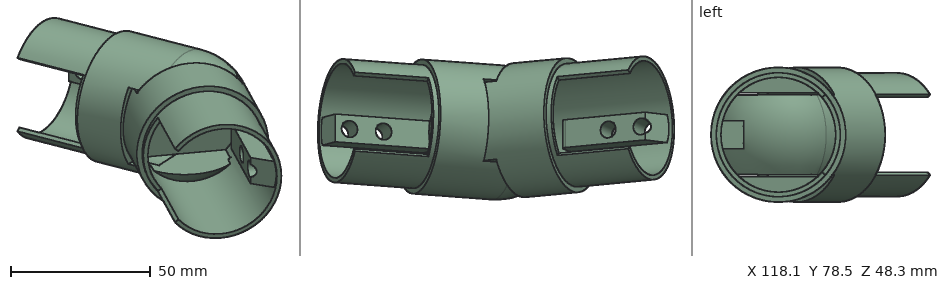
import cadquery as cq
import math


arm_length = 60.0
collar_diameter = 48.3
collar_radius = collar_diameter / 2
tube_radius = 22.2
bore_radius = 20.5
collar_end = 30.0
bore_floor = 1.9
bend_angle = 45.0

slot_start = 32.0
slot_half_angle = 40.5

lug_inner_height = 15.0
tongue_half_height = 14.3
fork_notch_floor = 11.7
tongue_shoulder = 9.0

block_half_width = 5.1
block_inner_radius = 12.4
block_start = 19.8
block_nose_radius = 1.7
block_foot_end = 59.8
fork_block_top_end = 56.8
tongue_block_top_end = 53.0
screw_hole_diameter = 6.0
screw_hole_places = (38.4, 51.4)

cutter_size = 2 * collar_diameter


def rod(radius, start, end):
    """Cylinder along X from start to end."""
    return cq.Workplane("YZ").workplane(offset=start).circle(radius).extrude(end - start)


def slab(start, end, bottom, top):
    """Wide box between two X positions and two heights."""
    size = (end - start, cutter_size, top - bottom)
    return cq.Workplane("XY").box(*size, centered=(False, True, False)).translate((start, 0, bottom))


def slot_cutter():
    """Wedge from the axis towards -Y, so that the slot edges are radial."""
    reach = cutter_size * math.tan(math.radians(slot_half_angle))
    wedge = [(0, 0), (-cutter_size, reach), (-cutter_size, -reach)]
    return cq.Workplane("YZ").workplane(offset=slot_start).polyline(wedge).close().extrude(arm_length)


def screw_block(top_end):
    """Block on the +Y wall of the bore, with a rounded inner nose and a sloping outer end."""
    profile = [
        (block_start, block_inner_radius),
        (top_end, block_inner_radius),
        (block_foot_end, tube_radius),
        (block_start, tube_radius),
    ]
    block = cq.Workplane("XY").polyline(profile).close().extrude(block_half_width, both=True)
    nose = cq.selectors.NearestToPointSelector((block_start, block_inner_radius, 0))
    block = block.edges("|Z").edges(nose).fillet(block_nose_radius)
    return block.intersect(rod(tube_radius, 0, arm_length))


def screw_holes():
    """Holes through the block and the +Y wall."""
    places = [(place, 0) for place in screw_hole_places]
    return cq.Workplane("XZ").pushPoints(places).circle(screw_hole_diameter / 2).extrude(-cutter_size)


def arm(joint_cutters, block_top_end):
    """One arm with its ball end, trimmed by the cutters that form its half of the joint."""
    body = cq.Workplane("XY").sphere(collar_radius)
    body = body.union(rod(collar_radius, 0, collar_end))
    body = body.union(rod(tube_radius, 0, arm_length))
    body = body.cut(rod(bore_radius, bore_floor, arm_length))
    body = body.cut(slot_cutter())
    for cutter in joint_cutters:
        body = body.cut(cutter)
    return body.union(screw_block(block_top_end)).cut(screw_holes())


fork_arm = arm(
    [slab(-cutter_size, fork_notch_floor, -lug_inner_height, lug_inner_height)],
    fork_block_top_end,
)
tongue_arm = arm(
    [
        slab(-cutter_size, tongue_shoulder, tongue_half_height, cutter_size),
        slab(-cutter_size, tongue_shoulder, -cutter_size, -tongue_half_height),
    ],
    tongue_block_top_end,
)

fork_arm = fork_arm.mirror("YZ")
tongue_arm = tongue_arm.rotate((0, 0, 0), (0, 0, 1), -bend_angle)
result = fork_arm.union(tongue_arm)